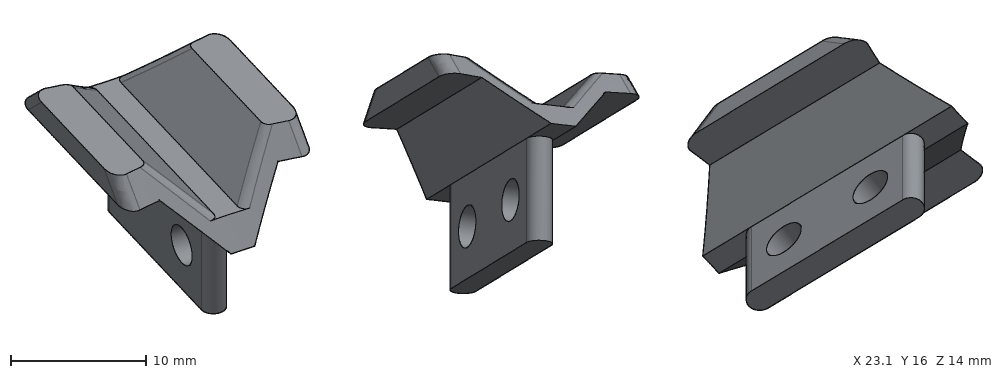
import cadquery as cq
import math

length = 23.05
flange_span = 16.0
height = 14.0
wall = 2.0

side_rise = 4.0
base_z = height - wall - side_rise
floor_half = wall / 2
flange_start = floor_half + side_rise
flange_bottom_z = base_z + side_rise

end_radius = 30.05
end_setback = math.sqrt(end_radius**2 - floor_half**2)
cone_center_x = length / 2 + end_setback
edge_fillet = 1.0

stem_length = flange_span
hole_diameter = 3.2
hole_spacing = 8.0
hole_z = 4.0


def trough_bar():
    """Constant-section trough, as long as the finished part."""
    half_span = flange_span / 2
    right_half = [
        (floor_half, base_z),
        (flange_start, flange_bottom_z),
        (half_span, flange_bottom_z),
        (half_span, height),
        (flange_start, height),
        (floor_half, base_z + wall),
    ]
    left_half = [(-y, z) for y, z in reversed(right_half)]
    profile = cq.Workplane("YZ").polyline(right_half + left_half).close()
    return profile.extrude(length / 2 + wall, both=True)


def end_cutter(side):
    """Cone that shapes the end at +X (side = 1) or -X (side = -1)."""
    cone_height = height - base_z
    cone = cq.Solid.makeCone(end_radius, end_radius + cone_height, cone_height)
    return cq.Workplane(cone.translate(cq.Vector(side * cone_center_x, 0, base_z)))


def edges_near(body, points):
    """Edges of the body whose middles lie closest to the given points."""
    selected = cq.Workplane(body.val())
    edges = [body.edges(cq.NearestToPointSelector(point)).val() for point in points]
    return selected.newObject(edges)


def end_x(y, z):
    """Distance from the middle of the part to its end surface."""
    radius = end_radius + z - base_z
    return cone_center_x - math.sqrt(radius**2 - y**2)


def rounded_trough():
    body = trough_bar()
    for side in (-1, 1):
        body = body.cut(end_cutter(side))

    tip_y = flange_span / 2
    tip_z = height - wall / 2
    side_y = floor_half + side_rise / 2
    side_z = base_z + wall + side_rise / 2
    corners = []
    for side_x in (-1, 1):
        for side in (-1, 1):
            corners.append((side_x * end_x(tip_y, tip_z), side * tip_y, tip_z))
            corners.append((side_x * end_x(side_y, side_z), side * side_y, side_z))
    return edges_near(body, corners).fillet(edge_fillet)


def stem():
    plate = cq.Workplane("XY").slot2D(stem_length, wall).extrude(base_z)
    holes = (
        cq.Workplane("XZ")
        .pushPoints([(-hole_spacing / 2, hole_z), (hole_spacing / 2, hole_z)])
        .circle(hole_diameter / 2)
        .extrude(wall, both=True)
    )
    return plate.cut(holes)


result = rounded_trough().union(stem())